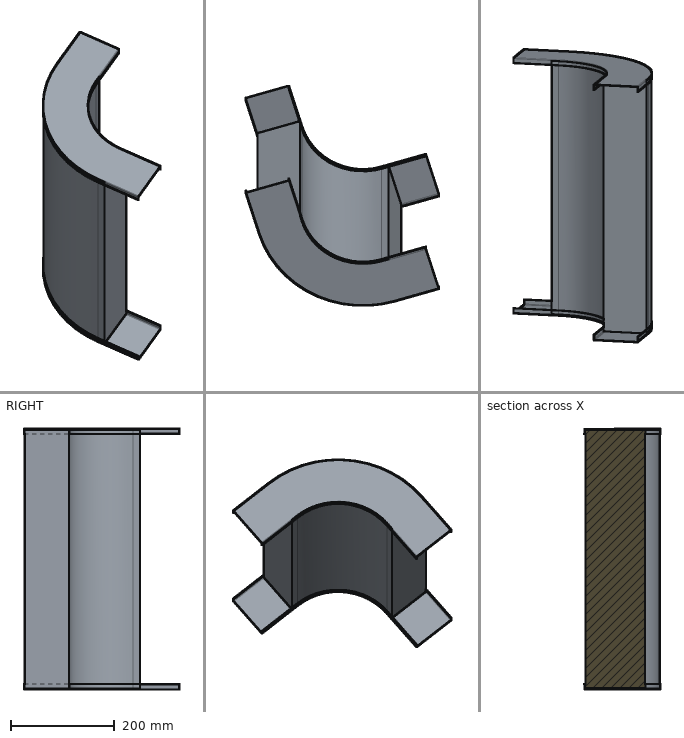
import cadquery as cq
import math

height = 503.0
track_reach = 299.0
track_width = 87.5
sheet = 1.0
fold_radius = 0.5
lip_height = 10.5
bend_radius = 209.0
panel_straight = 14.0
panel_bottom = 2.5

track_straight = track_reach - bend_radius
panel_height = height - 2 * panel_bottom


def curved_strip(inset, straight, strip_height):
    """Quarter-bend strip with straight ends, inset from both sides of the track width."""
    centre = bend_radius
    near = inset
    far = track_width - inset
    end = centre + straight
    outer_middle = centre - (centre - near) * math.sqrt(0.5)
    inner_middle = centre - (centre - far) * math.sqrt(0.5)
    return (
        cq.Workplane("XY")
        .moveTo(near, end)
        .lineTo(near, centre)
        .threePointArc((outer_middle, outer_middle), (centre, near))
        .lineTo(end, near)
        .lineTo(end, far)
        .lineTo(centre, far)
        .threePointArc((inner_middle, inner_middle), (far, centre))
        .lineTo(far, end)
        .close()
        .extrude(strip_height)
    )


def rounded_strip(inset, bottom_radius):
    """Track-length strip whose long bottom edges are rounded and whose ends stay square."""
    strip = curved_strip(inset, track_straight, lip_height)
    end_limit = track_reach - sheet
    long_edges = strip.faces("<Z").edges().filter(
        lambda edge: max(edge.Center().x, edge.Center().y) < end_limit
    )
    return long_edges.fillet(bottom_radius)


def bottom_track():
    """Folded sheet channel, open upward and at both ends."""
    blank = rounded_strip(0, sheet + fold_radius)
    channel = rounded_strip(sheet, fold_radius).translate((0, 0, sheet))
    return blank.cut(channel)


def top_track():
    """The bottom track mirrored about the mid-height plane."""
    return bottom_track().mirror("XY").translate((0, 0, height))


def panel():
    """Curved wall panel standing between the lips of the two tracks."""
    return curved_strip(sheet, panel_straight, panel_height).translate((0, 0, panel_bottom))


result = cq.Compound.makeCompound([bottom_track().val(), top_track().val(), panel().val()])